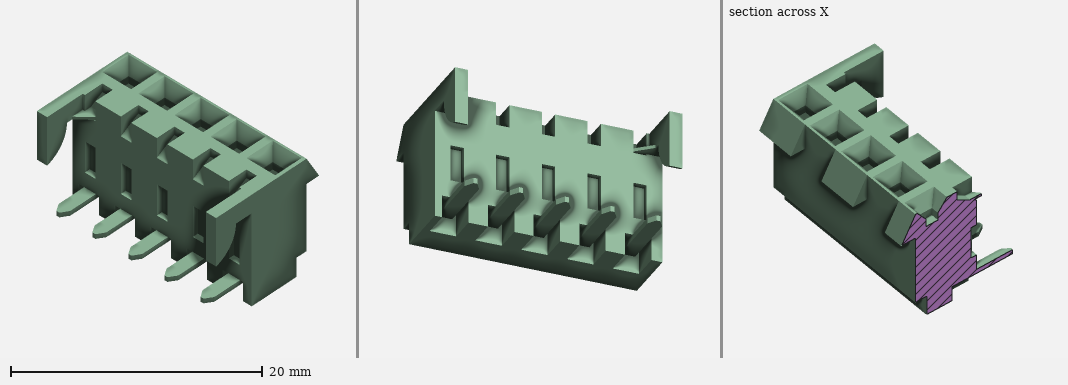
import cadquery as cq
import math


CONTACTS = 5
PITCH = 3.96
CONTACT_XS = [(i - (CONTACTS - 1) / 2) * PITCH for i in range(CONTACTS)]

LENGTH = 19.71
HEIGHT = 11.4
OVERALL_DEPTH = 11.89
ARM_REACH = 4.11
LATCH_OVERHANG = 1.46
BODY_DEPTH = OVERALL_DEPTH - ARM_REACH - LATCH_OVERHANG
STEP_HEIGHT = 1.96
STEP_INSET = 1.15

LATCH_WIDTH = 3.96
MIDDLE_LATCH_X = 0.07
LATCH_HEIGHT = 2.58

ARM_WIDTH = 1.13
ARM_THICKNESS = 1.9
HOOK_START = 1.82
HOOK_RADIUS = 3.17

WEB_THICKNESS = 0.28
WEB_LENGTH = 1.23

SLOT_WIDTH = 1.15
NOTCH_DEPTH = 2.02
NOTCH_BACK_DROP = 0.87
NOTCH_FRONT_DROP = 2.02
WINDOW_BOTTOM = 3.5
WINDOW_HEIGHT = 3.17
WINDOW_DEPTH = 0.57

FUNNEL_WIDTH = 3.17
FUNNEL_LENGTH = 3.04
FUNNEL_WALL = 0.2
FUNNEL_DEPTH = 1.15
ENTRY_WIDTH = 1.41
ENTRY_LENGTH = 1.17
ENTRY_DEPTH = 0.76
FUNNEL_Y = BODY_DEPTH - FUNNEL_WALL - FUNNEL_LENGTH / 2

POCKET_WIDTH = 2.28
POCKET_OFFSET = -0.15
POCKET_HEIGHT = STEP_HEIGHT
POCKET_DEPTH = 2.5
PIN_WIDTH = 1.29
PIN_THICKNESS = 0.48
PIN_REACH = 3.71
PIN_TAPER = 0.75
PIN_TIP_WIDTH = 0.34


def box(x_min, y_min, z_min, x_size, y_size, z_size):
    """Box placed by its lowest corner."""
    return cq.Workplane("XY").box(x_size, y_size, z_size, centered=False).translate((x_min, y_min, z_min))


def profile(points, x_min, width):
    """Closed (y, z) outline extruded along +X from x_min."""
    return cq.Workplane("YZ").polyline(points).close().extrude(width).translate((x_min, 0, 0))


def make_body():
    """Plain block with a step along the lower back edge."""
    outline = [
        (0, 0),
        (BODY_DEPTH - STEP_INSET, 0),
        (BODY_DEPTH - STEP_INSET, STEP_HEIGHT),
        (BODY_DEPTH, STEP_HEIGHT),
        (BODY_DEPTH, HEIGHT),
        (0, HEIGHT),
    ]
    return profile(outline, -LENGTH / 2, LENGTH)


def make_latch(x):
    """Wedge that slopes outward from the top edge of the back wall."""
    outline = [
        (BODY_DEPTH, HEIGHT),
        (BODY_DEPTH, HEIGHT - LATCH_HEIGHT),
        (BODY_DEPTH + LATCH_OVERHANG, HEIGHT - LATCH_HEIGHT),
    ]
    return profile(outline, x - LATCH_WIDTH / 2, LATCH_WIDTH)


def make_arm(x_min):
    """Arm reaching forward from the top, with a round-backed hook at its end."""
    arm_bottom = HEIGHT - ARM_THICKNESS
    arc_center_y = -HOOK_START - HOOK_RADIUS
    tip_angle = math.acos((-ARM_REACH - arc_center_y) / HOOK_RADIUS)

    def arc_point(angle):
        return (
            arc_center_y + HOOK_RADIUS * math.cos(angle),
            arm_bottom - HOOK_RADIUS * math.sin(angle),
        )

    return (
        cq.Workplane("YZ")
        .moveTo(0, HEIGHT)
        .lineTo(0, arm_bottom)
        .lineTo(-HOOK_START, arm_bottom)
        .threePointArc(arc_point(tip_angle / 2), arc_point(tip_angle))
        .lineTo(-ARM_REACH, HEIGHT)
        .close()
        .extrude(ARM_WIDTH)
        .translate((x_min, 0, 0))
    )


def make_web():
    """Web at the -X end: a triangle against the arm that also runs back through the end notch."""
    arm_x = -LENGTH / 2 + ARM_WIDTH
    notch_left = CONTACT_XS[0] - SLOT_WIDTH / 2
    notch_right = CONTACT_XS[0] + SLOT_WIDTH / 2
    outline = [
        (arm_x, 0),
        (arm_x, -WEB_LENGTH),
        (notch_right, 0),
        (notch_right, NOTCH_DEPTH),
        (notch_left, NOTCH_DEPTH),
        (notch_left, 0),
    ]
    web_bottom = HEIGHT - ARM_THICKNESS
    return cq.Workplane("XY").workplane(offset=web_bottom).polyline(outline).close().extrude(WEB_THICKNESS)


def make_notch(x):
    """Notch in the top front edge, with a floor that falls toward the front."""
    outline = [
        (0, HEIGHT),
        (0, HEIGHT - NOTCH_FRONT_DROP),
        (NOTCH_DEPTH, HEIGHT - NOTCH_BACK_DROP),
        (NOTCH_DEPTH, HEIGHT),
    ]
    return profile(outline, x - SLOT_WIDTH / 2, SLOT_WIDTH)


def make_window(x):
    """Shallow upright recess in the front wall."""
    return box(x - SLOT_WIDTH / 2, 0, WINDOW_BOTTOM, SLOT_WIDTH, WINDOW_DEPTH, WINDOW_HEIGHT)


def make_entry(x):
    """Rectangular funnel in the top that leads into a short straight blind hole."""
    funnel = (
        cq.Workplane("XY", origin=(x, FUNNEL_Y, HEIGHT))
        .rect(FUNNEL_WIDTH, FUNNEL_LENGTH)
        .workplane(offset=-FUNNEL_DEPTH)
        .rect(ENTRY_WIDTH, ENTRY_LENGTH)
        .loft(ruled=True)
    )
    hole = (
        cq.Workplane("XY", origin=(x, FUNNEL_Y, HEIGHT - FUNNEL_DEPTH))
        .rect(ENTRY_WIDTH, ENTRY_LENGTH)
        .extrude(-ENTRY_DEPTH)
    )
    return funnel.union(hole)


def make_pocket(x):
    """Recess in the lower front edge, open to the front and below."""
    x_min = x + POCKET_OFFSET - POCKET_WIDTH / 2
    return box(x_min, 0, 0, POCKET_WIDTH, POCKET_DEPTH, POCKET_HEIGHT)


def make_pin(x):
    """Flat pin lying against the pocket ceiling, with a tapered tip."""
    outline = [
        (x - PIN_WIDTH / 2, POCKET_DEPTH),
        (x - PIN_WIDTH / 2, PIN_TAPER - PIN_REACH),
        (x - PIN_TIP_WIDTH / 2, -PIN_REACH),
        (x + PIN_TIP_WIDTH / 2, -PIN_REACH),
        (x + PIN_WIDTH / 2, PIN_TAPER - PIN_REACH),
        (x + PIN_WIDTH / 2, POCKET_DEPTH),
    ]
    pin_bottom = POCKET_HEIGHT - PIN_THICKNESS
    return cq.Workplane("XY").workplane(offset=pin_bottom).polyline(outline).close().extrude(PIN_THICKNESS)


result = make_body()

end_latch_x = (LENGTH - LATCH_WIDTH) / 2
for latch_x in (-end_latch_x, MIDDLE_LATCH_X, end_latch_x):
    result = result.union(make_latch(latch_x))

for arm_x_min in (-LENGTH / 2, LENGTH / 2 - ARM_WIDTH):
    result = result.union(make_arm(arm_x_min))

for contact_x in CONTACT_XS:
    result = result.cut(make_notch(contact_x))
    result = result.cut(make_window(contact_x))
    result = result.cut(make_entry(contact_x))
    result = result.cut(make_pocket(contact_x))
    result = result.union(make_pin(contact_x))

left_web = make_web()
result = result.union(left_web).union(left_web.mirror("YZ"))